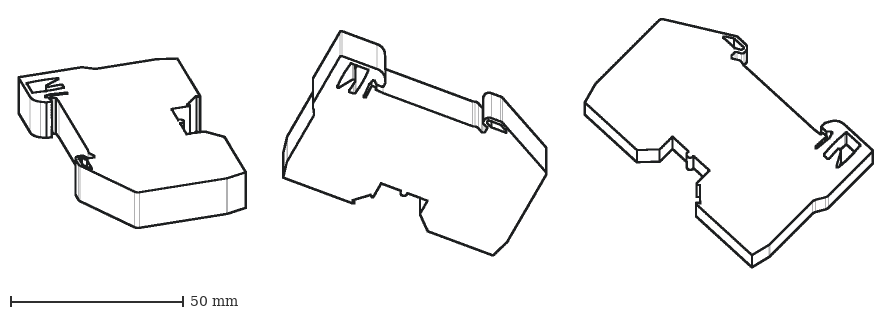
import cadquery as cq
import math

LENGTH = 72.4
DEPTH = 47.3
THICKNESS = 12.1

TOP_LEFT_X = 3.55
TOP_RIGHT_X = LENGTH - 1.7
LEFT_WALL_X = 2.1
LEFT_SLOPE_Y = 41.4
RIGHT_SLOPE_Y = 41.05
RIGHT_SLOPE_ANGLE = math.radians(30)
LEFT_STEP_TOP_Y = 22.8
LEFT_STEP_BOTTOM_Y = 19.3
LEFT_STEP_RADIUS = 2.0
LARGE_RADIUS = 1.45
SMALL_RADIUS = 0.35

NOTCH_LEFT_X = 30.25
NOTCH_RIGHT_X = 45.1
NOTCH_FLOOR_Y = 37.2
NOTCH_RIGHT_WALL_TOP_Y = 42.6
NOTCH_RIGHT_RUN = DEPTH - NOTCH_RIGHT_WALL_TOP_Y
BUMP_RADIUS = 1.0
BUMP_HEIGHT = 1.4
BUMP_X = (NOTCH_LEFT_X + NOTCH_RIGHT_X) / 2

SEAT_TOP_X = 25.3
SEAT_TOP_Y = 46.25
SEAT_RUN = 4.0
LIP_REACH = 0.95
LIP_RADIUS = 0.3
LIP_UNDERSIDE_RADIUS = 0.15

RAIL_SEAT_Y = 7.2
RAIL_SEAT_LEFT_X = 16.95
RAIL_SEAT_RIGHT_X = 45.5
RAIL_SEAT_END_Y = 6.95

HOOK_RIGHT_X = 16.0
HOOK_TOP_Y = 5.2
HOOK_RADIUS = 4.0
HOOK_SLOPE_BOTTOM_X = 14.0
HOOK_SLOPE_TOP_Y = 3.55
HOOK_RAMP_TOP_X = 13.8
HOOK_GULLET_Y = 4.2
HOOK_GULLET_LEFT_X = 12.4
HOOK_GULLET_RIGHT_X = 12.9
SLOT_BELLY_X = 11.95
SLOT_BELLY_Y = 6.0
SLOT_TOP_Y = 10.9
SLOT_TOP_LEFT_X = 12.4
SLOT_TOP_RIGHT_X = 13.0
TIP_RADIUS = 0.3
PAD_LEFT_X = 12.8
PAD_RIGHT_X = 14.4
PAD_Y = 6.15

WINDOW_LEFT_X = 3.9
WINDOW_RIGHT_X = 9.55
WINDOW_BOTTOM_Y = 1.3
WINDOW_TOP_Y = SLOT_TOP_Y
WINDOW_MID_Y = (WINDOW_BOTTOM_Y + WINDOW_TOP_Y) / 2
WALL_BULGE = 0.5
WALL_BULGE_RADIUS = 39.8
FINGER_TIP_Y = 6.3
FINGER_TIP_LEFT_X = 6.9
FINGER_TIP_RIGHT_X = 7.8
FINGER_ROOT_LEFT_X = 4.4
FINGER_ROOT_RIGHT_X = 7.6

LATCH_LEFT_X = 47.7
LATCH_BOTTOM_Y = 2.2
LATCH_BOTTOM_RIGHT_X = 52.6
LATCH_TOP_Y = 4.9
LATCH_TOP_RADIUS = 0.7
LATCH_BOTTOM_RADIUS = 1.5
LATCH_THROAT_X = 49.75
LATCH_THROAT_BOTTOM_Y = 5.8
LATCH_THROAT_TOP_Y = 8.0
LATCH_THROAT_RADIUS = 0.5
LATCH_RAMP_BOTTOM_X = 46.85
LATCH_RAMP_BOTTOM_Y = 6.8
LATCH_RAMP_TOP_X = 48.8

LATCH_WINDOW_LEFT_X = 48.8
LATCH_WINDOW_RIGHT_X = 55.4
LATCH_WINDOW_BOTTOM_Y = 3.25
LATCH_WINDOW_TOP_Y = 5.2
LATCH_WINDOW_LEFT_TOP_Y = 4.3
LATCH_WINDOW_RIGHT_BOTTOM_Y = 4.8
LATCH_WINDOW_RAMP_X = 50.7
LATCH_WINDOW_FLOOR_END_X = 52.85


def corner_arc(before, corner, after):
    """Start, middle and end of the arc that rounds one (x, y, radius) corner."""
    x, y, radius = corner
    to_before = cq.Vector(before[0] - x, before[1] - y).normalized()
    to_after = cq.Vector(after[0] - x, after[1] - y).normalized()
    half_angle = to_before.getAngle(to_after) / 2
    tangent_length = radius / math.tan(half_angle)
    arc_distance = radius / math.sin(half_angle) - radius
    apex = cq.Vector(x, y)
    bisector = (to_before + to_after).normalized()
    start = apex + to_before * tangent_length
    middle = apex + bisector * arc_distance
    end = apex + to_after * tangent_length
    return start, middle, end


def prism(corners):
    """Extrude a closed outline; a corner is (x, y) if sharp or (x, y, radius) if rounded."""
    sketch = cq.Workplane("XY").moveTo(*corners[0][:2])
    for index in range(1, len(corners)):
        corner = corners[index]
        if len(corner) == 2:
            sketch = sketch.lineTo(*corner)
            continue
        after = corners[(index + 1) % len(corners)]
        start, middle, end = corner_arc(corners[index - 1], corner, after)
        sketch = sketch.lineTo(start.x, start.y).threePointArc((middle.x, middle.y), (end.x, end.y))
    return sketch.close().extrude(THICKNESS)


seat_bottom_x = SEAT_TOP_X + SEAT_RUN
seat_bottom_y = SEAT_TOP_Y - SEAT_RUN
lower_lip_y = seat_bottom_y + NOTCH_LEFT_X - seat_bottom_x
top_notch = [
    (SEAT_TOP_X + LIP_REACH, DEPTH, LIP_RADIUS),
    (SEAT_TOP_X + LIP_REACH, SEAT_TOP_Y + LIP_REACH / 2, LIP_UNDERSIDE_RADIUS),
    (SEAT_TOP_X, SEAT_TOP_Y),
    (seat_bottom_x, seat_bottom_y),
    (NOTCH_LEFT_X, lower_lip_y, LIP_RADIUS),
    (NOTCH_LEFT_X, NOTCH_FLOOR_Y),
    (NOTCH_RIGHT_X, NOTCH_FLOOR_Y),
    (NOTCH_RIGHT_X, NOTCH_RIGHT_WALL_TOP_Y),
    (NOTCH_RIGHT_X + NOTCH_RIGHT_RUN, DEPTH),
]
right_slope_run = LENGTH - LATCH_BOTTOM_RIGHT_X
right_corner_y = LATCH_BOTTOM_Y + right_slope_run * math.tan(RIGHT_SLOPE_ANGLE)
right_side = [
    (TOP_RIGHT_X, DEPTH),
    (LENGTH, RIGHT_SLOPE_Y, LARGE_RADIUS),
    (LENGTH, right_corner_y, LARGE_RADIUS),
]
latch_foot = [
    (LATCH_BOTTOM_RIGHT_X, LATCH_BOTTOM_Y, LARGE_RADIUS),
    (LATCH_LEFT_X, LATCH_BOTTOM_Y, LATCH_BOTTOM_RADIUS),
    (LATCH_LEFT_X, LATCH_TOP_Y, LATCH_TOP_RADIUS),
    (LATCH_THROAT_X, LATCH_THROAT_BOTTOM_Y, LATCH_THROAT_RADIUS),
    (LATCH_THROAT_X, LATCH_THROAT_TOP_Y, LATCH_THROAT_RADIUS),
    (LATCH_RAMP_TOP_X, LATCH_THROAT_TOP_Y, SMALL_RADIUS),
    (LATCH_RAMP_BOTTOM_X, LATCH_RAMP_BOTTOM_Y, LARGE_RADIUS),
]
rail_seat = [
    (RAIL_SEAT_RIGHT_X, RAIL_SEAT_Y),
    (RAIL_SEAT_LEFT_X, RAIL_SEAT_Y),
    (PAD_RIGHT_X, RAIL_SEAT_END_Y),
]
hook_foot = [
    (PAD_RIGHT_X, PAD_Y, SMALL_RADIUS),
    (PAD_LEFT_X, PAD_Y),
    (SLOT_TOP_RIGHT_X, SLOT_TOP_Y, TIP_RADIUS),
    (SLOT_TOP_LEFT_X, SLOT_TOP_Y, TIP_RADIUS),
    (SLOT_BELLY_X, SLOT_BELLY_Y),
    (HOOK_GULLET_LEFT_X, HOOK_GULLET_Y),
    (HOOK_GULLET_RIGHT_X, HOOK_GULLET_Y),
    (HOOK_RAMP_TOP_X, HOOK_TOP_Y),
    (HOOK_RIGHT_X, HOOK_TOP_Y),
    (HOOK_RIGHT_X, HOOK_SLOPE_TOP_Y),
    (HOOK_SLOPE_BOTTOM_X, 0, HOOK_RADIUS),
    (0, 0, SMALL_RADIUS),
]
left_side = [
    (0, LEFT_STEP_BOTTOM_Y, LEFT_STEP_RADIUS),
    (LEFT_WALL_X, LEFT_STEP_TOP_Y, LEFT_STEP_RADIUS),
    (LEFT_WALL_X, LEFT_SLOPE_Y, LARGE_RADIUS),
]
housing = prism([(TOP_LEFT_X, DEPTH)] + top_notch + right_side + latch_foot + rail_seat + hook_foot + left_side)


def notch_bump():
    """Round-topped bump whose straight base sinks into the notch floor."""
    bump_center_y = NOTCH_FLOOR_Y + BUMP_HEIGHT - BUMP_RADIUS
    bump_length = 4 * BUMP_RADIUS
    return (
        cq.Workplane("XY")
        .center(BUMP_X, bump_center_y + BUMP_RADIUS - bump_length / 2)
        .slot2D(bump_length, 2 * BUMP_RADIUS, 90)
        .extrude(THICKNESS)
    )


def spring_window():
    """Window with bowed side walls and a finger hanging from its top."""
    return prism([
        (WINDOW_LEFT_X, WINDOW_BOTTOM_Y),
        (WINDOW_LEFT_X - WALL_BULGE, WINDOW_MID_Y, WALL_BULGE_RADIUS),
        (WINDOW_LEFT_X, WINDOW_TOP_Y, TIP_RADIUS),
        (FINGER_ROOT_LEFT_X, WINDOW_TOP_Y, TIP_RADIUS),
        (FINGER_TIP_LEFT_X, FINGER_TIP_Y, SMALL_RADIUS),
        (FINGER_TIP_RIGHT_X, FINGER_TIP_Y, SMALL_RADIUS),
        (FINGER_ROOT_RIGHT_X, WINDOW_TOP_Y, SMALL_RADIUS),
        (WINDOW_RIGHT_X, WINDOW_TOP_Y, SMALL_RADIUS),
        (WINDOW_RIGHT_X + WALL_BULGE, WINDOW_MID_Y, WALL_BULGE_RADIUS),
        (WINDOW_RIGHT_X, WINDOW_BOTTOM_Y),
    ])


def latch_window():
    """Slanted window that leaves a thin springy wall around the latch foot."""
    return prism([
        (LATCH_WINDOW_LEFT_X, LATCH_WINDOW_BOTTOM_Y),
        (LATCH_WINDOW_LEFT_X, LATCH_WINDOW_LEFT_TOP_Y),
        (LATCH_WINDOW_RAMP_X, LATCH_WINDOW_TOP_Y),
        (LATCH_WINDOW_RIGHT_X, LATCH_WINDOW_TOP_Y),
        (LATCH_WINDOW_RIGHT_X, LATCH_WINDOW_RIGHT_BOTTOM_Y),
        (LATCH_WINDOW_FLOOR_END_X, LATCH_WINDOW_BOTTOM_Y),
    ])


result = housing.union(notch_bump()).cut(spring_window()).cut(latch_window())